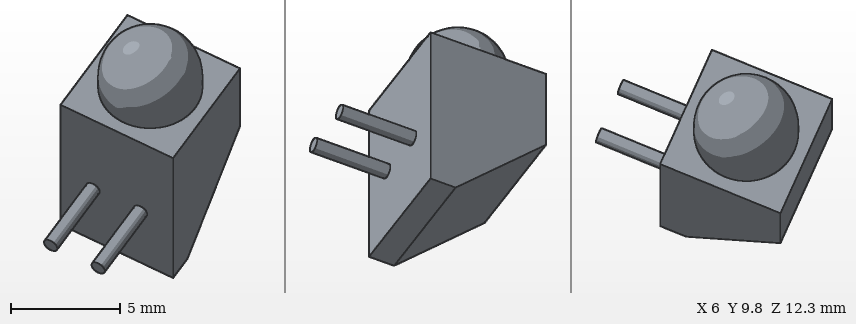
import cadquery as cq

housing_width = 6.0
housing_height = 9.1
bevel_size = 4.7

lens_radius = 2.4
lens_cylinder_height = 0.8

lead_radius = 0.36
lead_length = 3.8
lead_pitch = 2.53
lead_height = 3.91


def make_housing():
    half_width = housing_width / 2
    profile = [
        (-half_width, 0),
        (half_width - bevel_size, 0),
        (half_width, bevel_size),
        (half_width, housing_height),
        (-half_width, housing_height),
    ]
    return cq.Workplane("YZ").polyline(profile).close().extrude(half_width, both=True)


def make_lens():
    """Revolve half of the lens section about the Z axis."""
    dome_base = housing_height + lens_cylinder_height
    return (
        cq.Workplane("XZ")
        .moveTo(0, housing_height)
        .lineTo(lens_radius, housing_height)
        .lineTo(lens_radius, dome_base)
        .radiusArc((0, dome_base + lens_radius), -lens_radius)
        .close()
        .revolve(360, (0, 0), (0, 1))
    )


def make_leads():
    return (
        cq.Workplane("XZ", origin=(0, -housing_width / 2, lead_height))
        .pushPoints([(-lead_pitch / 2, 0), (lead_pitch / 2, 0)])
        .circle(lead_radius)
        .extrude(lead_length)
    )


result = make_housing().union(make_lens()).union(make_leads())